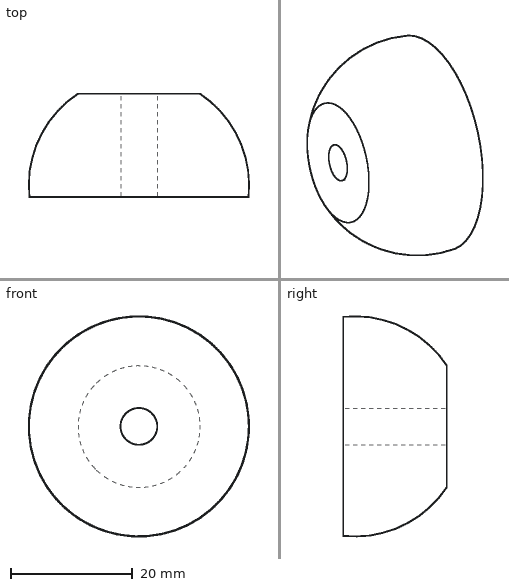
import cadquery as cq
import math

height = 17.0
base_diameter = 36.0
top_diameter = 20.0
bore_diameter = 6.0

base_radius = base_diameter / 2
top_radius = top_diameter / 2
bore_radius = bore_diameter / 2

center_y = (height**2 + top_radius**2 - base_radius**2) / (2 * height)
sphere_radius = math.hypot(base_radius, center_y)


def domed_body():
    """Spherical zone between the two flat faces, revolved about the Y axis."""
    equator = (sphere_radius, center_y)
    profile = (
        cq.Workplane("XY")
        .lineTo(base_radius, 0)
        .threePointArc(equator, (top_radius, height))
        .lineTo(0, height)
        .close()
    )
    return profile.revolve(360, (0, 0), (0, 1))


def axial_bore():
    """Cylinder that cuts the through hole along the axis."""
    return cq.Workplane("XZ").circle(bore_radius).extrude(-height)


result = domed_body().cut(axial_bore())